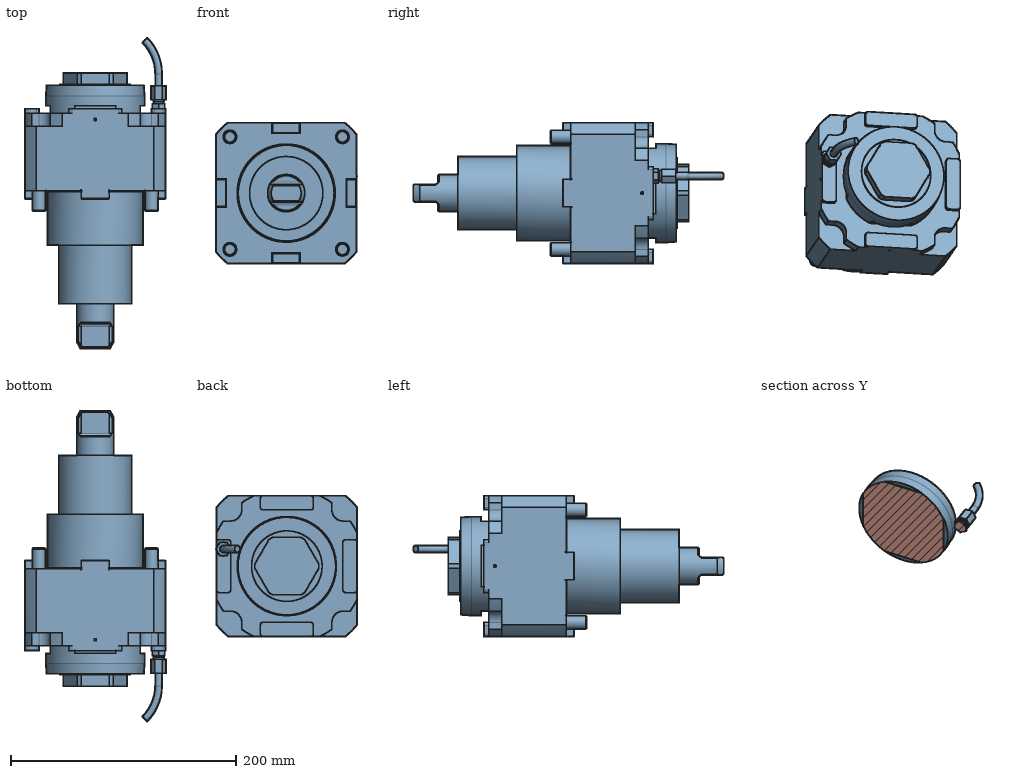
import cadquery as cq
import math


body_size = 125.0
body_half = body_size / 2
front_round_dia = 162.8
rear_round_dia = 138.0
step_y = 57.0
rear_y = 68.7
pocket_radius = 10.0
vent_dia = 2.1
vent_depth = 2.8
vent_y = 63.2

pad_length = 47.0
pad_depth = 12.7
pad_top_y = 72.9
pad_corner_radius = 2.5

key_width = 24.5
key_depth = 9.5
key_height = 7.5
key_chamfer = 0.5
key_clearance = 0.41
key_seat_depth = 0.8
key_z = body_half - key_depth / 2

screw_offset = 50.0
screw_dia = 12.0
screw_height = 18.5
screw_chamfer = 1.0

collar_dia = 87.2
collar_height = 0.8
sleeve_dia = 85.0
sleeve_end_y = -48.3
nose_dia = 65.0
nose_end_y = -100.5
shaft_dia = 33.0
shaft_end_y = -140.2
shaft_tip_dia = 26.5
tip_cone_length = 6.0

tang_half_thickness = 8.0
tang_shoulder_y = -118.0
tang_root_radius = 2.2
tang_flat_half_width = 12.5
tang_edge_slope = 20.0
tang_end_chamfer = 1.5
tang_shoulder_chamfer = 1.0
tang_start_y = tang_shoulder_y + tang_shoulder_chamfer

cap_dia = 88.0
cap_rear_dia = 86.7
cap_band_y = 84.2
cap_rear_y = 93.5
cap_flat_offset = 40.0
cap_flat_top_y = 75.3
washer_dia = 62.6
washer_top_y = 94.5
cap_hex_flats = 51.0
cap_hex_corner_dia = 56.9
cap_hex_top_y = 104.5

gland_x = 56.3
gland_z = 15.2
gland_base_flats = 11.3
gland_base_top_y = 77.3
gland_groove_dia = 8.3
gland_groove_top_y = 79.0
gland_collar_dia = 10.0
gland_nut_y = 80.5
gland_nut_corner_dia = 13.5
gland_nut_top_y = 93.0
cable_dia = 6.3
cable_end_y = 135.8
cable_bend_angle = 45.0
cable_bend_radius = 42.0


def plane_at(y, x=0, z=0):
    """Sketch plane across the tool axis; its local axes are X and Z, and it extrudes toward -Y."""
    return cq.Workplane("XZ", origin=(x, y, z))


def cylinder(dia, y_start, y_end, x=0, z=0):
    """Round bar along Y."""
    return plane_at(y_start, x, z).circle(dia / 2).extrude(y_start - y_end)


def hexagon(corner_dia, y_start, y_end, x=0, z=0, turn=0):
    """Hexagonal bar along Y; with no turn two corners lie along X."""
    outline = plane_at(y_start, x, z).transformed(rotate=(0, 0, turn)).polygon(6, corner_dia)
    return outline.extrude(y_start - y_end)


def block(width, y_start, y_end, height, x=0, z=0):
    """Rectangular bar along Y."""
    return plane_at(y_start, x, z).rect(width, height).extrude(y_start - y_end)


def around_axis(shape):
    """Four copies of a shape, a quarter turn apart about the tool axis."""
    copies = shape
    for angle in (90, 180, 270):
        copies = copies.union(shape.rotate((0, 0, 0), (0, 1, 0), angle))
    return copies


def make_housing():
    front = block(body_size, 0, step_y, body_size)
    front = front.intersect(cylinder(front_round_dia, 0, step_y))

    rear = block(body_size, step_y, rear_y, body_size)
    rear = rear.intersect(cylinder(rear_round_dia, step_y, rear_y))
    pocket_center = screw_offset - pocket_radius + body_half
    pocket = block(body_size, step_y, rear_y, body_size, pocket_center, pocket_center)
    pocket = pocket.edges("|Y").fillet(pocket_radius)
    rear = rear.cut(around_axis(pocket))

    vent = cq.Workplane("XY", origin=(0, vent_y, body_half)).circle(vent_dia / 2).extrude(-vent_depth)
    key_seat = block(key_width + 2 * key_clearance, 0, key_seat_depth, key_depth, z=key_z)
    return front.union(rear).cut(around_axis(vent)).cut(around_axis(key_seat))


def make_pads():
    pad = block(pad_length, rear_y, pad_top_y, pad_depth, z=body_half - pad_depth / 2)
    return around_axis(pad.edges("|Y").fillet(pad_corner_radius))


def make_keys():
    key = block(key_width, key_seat_depth, -key_height, key_depth, z=key_z)
    return around_axis(key.faces("<Y").chamfer(key_chamfer))


def make_screws():
    screw = cylinder(screw_dia, 0, -screw_height, screw_offset, screw_offset)
    return around_axis(screw.faces("<Y").chamfer(screw_chamfer))


def make_tang_cut():
    """Material removed above the upper flat of the tang."""
    shaft_radius = shaft_dia / 2
    root_z = tang_half_thickness + tang_root_radius
    root_y = tang_shoulder_y - tang_root_radius
    arc_offset = tang_root_radius * (1 - math.sqrt(0.5))
    relief = (
        cq.Workplane("YZ", origin=(-shaft_radius, 0, 0))
        .moveTo(tang_start_y, shaft_radius)
        .lineTo(tang_start_y, root_z)
        .lineTo(tang_shoulder_y, root_z)
        .threePointArc(
            (tang_shoulder_y - arc_offset, tang_half_thickness + arc_offset),
            (root_y, tang_half_thickness),
        )
        .lineTo(shaft_end_y + tang_end_chamfer, tang_half_thickness)
        .lineTo(shaft_end_y, tang_half_thickness - tang_end_chamfer)
        .lineTo(shaft_end_y, shaft_radius)
        .close()
        .extrude(shaft_dia)
    )
    bevel_width = shaft_radius - tang_flat_half_width
    bevel_drop = bevel_width * math.tan(math.radians(tang_edge_slope))
    bevel = (
        plane_at(root_y)
        .moveTo(tang_flat_half_width, tang_half_thickness)
        .lineTo(shaft_radius, tang_half_thickness - bevel_drop)
        .lineTo(shaft_radius, tang_half_thickness)
        .close()
        .extrude(root_y - shaft_end_y)
    )
    return relief.union(bevel).union(bevel.mirror("YZ"))


def make_spindle():
    collar = cylinder(collar_dia, 0, -collar_height)
    sleeve = cylinder(sleeve_dia, 0, sleeve_end_y)
    nose = cylinder(nose_dia, sleeve_end_y, nose_end_y)
    shaft = cylinder(shaft_dia, nose_end_y, tang_shoulder_y)
    shaft = shaft.faces("<Y").chamfer(tang_shoulder_chamfer)
    tang = cylinder(shaft_dia, tang_start_y, shaft_end_y)
    tang = tang.faces("<Y").chamfer(tip_cone_length, (shaft_dia - shaft_tip_dia) / 2)
    tang_cut = make_tang_cut()
    tang = tang.cut(tang_cut).cut(tang_cut.mirror("XY"))
    return collar.union(sleeve).union(nose).union(shaft).union(tang)


def make_cap():
    cap = cylinder(cap_dia, rear_y, cap_band_y)
    flat_cut = block(cap_dia, rear_y, cap_flat_top_y, cap_dia, z=cap_flat_offset + cap_dia / 2)
    cap = cap.cut(around_axis(flat_cut))
    rear_cone = (
        plane_at(cap_band_y)
        .circle(cap_dia / 2)
        .workplane(offset=cap_band_y - cap_rear_y)
        .circle(cap_rear_dia / 2)
        .loft()
    )
    washer = cylinder(washer_dia, cap_rear_y, washer_top_y)
    nut = hexagon(cap_hex_flats / math.cos(math.pi / 6), washer_top_y, cap_hex_top_y)
    nut = nut.intersect(cylinder(cap_hex_corner_dia, washer_top_y, cap_hex_top_y))
    return cap.union(rear_cone).union(washer).union(nut)


def make_cable():
    bend = math.radians(cable_bend_angle)
    tip_overhang = cable_dia / 2 * math.sin(bend)
    bend_end_y = cable_end_y - tip_overhang
    bend_start_y = bend_end_y - cable_bend_radius * math.sin(bend)

    def bend_point(angle):
        x = gland_x - cable_bend_radius * (1 - math.cos(angle))
        return (x, bend_start_y + cable_bend_radius * math.sin(angle))

    path = (
        cq.Workplane("XY", origin=(0, 0, gland_z))
        .moveTo(gland_x, gland_nut_top_y)
        .lineTo(gland_x, bend_start_y)
        .threePointArc(bend_point(bend / 2), bend_point(bend))
    )
    return plane_at(gland_nut_top_y, gland_x, gland_z).circle(cable_dia / 2).sweep(path)


def make_gland():
    at_gland = {"x": gland_x, "z": gland_z}
    base_corner_dia = gland_base_flats / math.cos(math.pi / 6)
    base = hexagon(base_corner_dia, pad_top_y, gland_base_top_y, turn=30, **at_gland)
    groove = cylinder(gland_groove_dia, gland_base_top_y, gland_groove_top_y, **at_gland)
    collar = cylinder(gland_collar_dia, gland_groove_top_y, gland_nut_y, **at_gland)
    nut = hexagon(gland_nut_corner_dia, gland_nut_y, gland_nut_top_y, **at_gland)
    return base.union(groove).union(collar).union(nut)


result = make_housing()
for piece in (
    make_pads(),
    make_keys(),
    make_screws(),
    make_spindle(),
    make_cap(),
    make_gland(),
    make_cable(),
):
    result = result.union(piece)